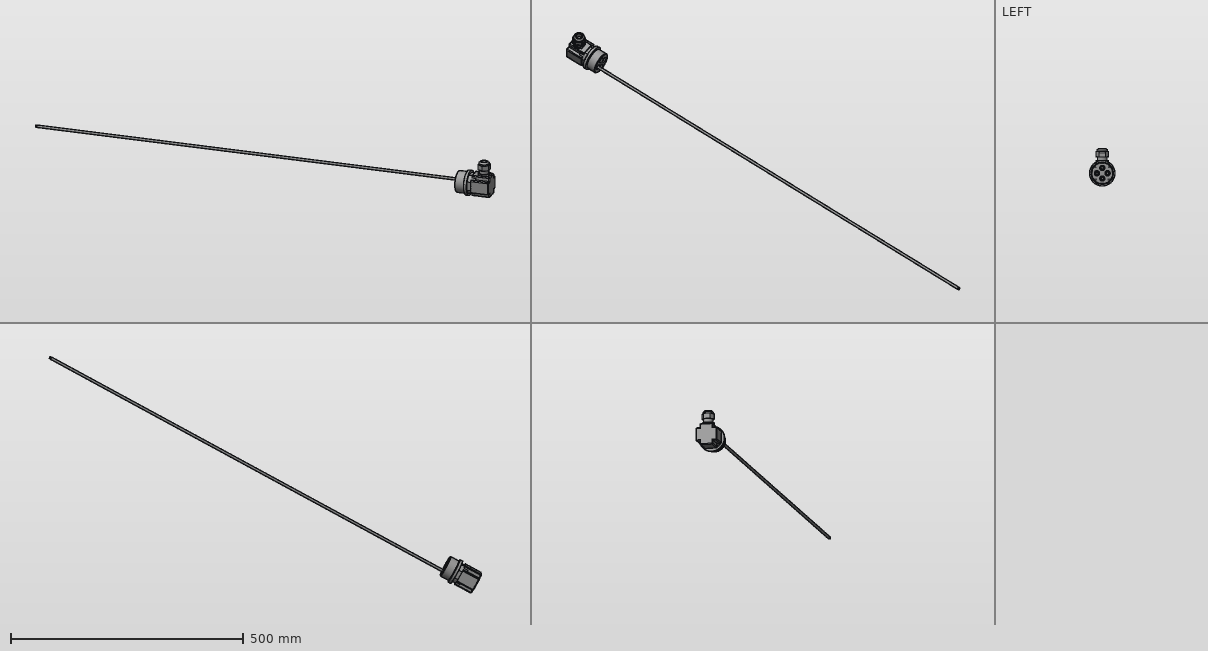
import cadquery as cq

total_length = 1044.0

head_length = 77.0
plug_diameter = 48.0
plug_length = 22.0
plug_chamfer = 1.6
flange_diameter = 55.0
flange_length = 6.0

collar_diameter = 46.0
collar_length = 18.0
flat_spacing = 42.0
flat_length = 8.0

slab_height = 47.0
slab_width = 29.0
slab_bevel = 2.0
end_chamfer = 2.0

socket_offset = 11.0
socket_diameter = 11.0
socket_depth = 4.0
bore_diameter = 9.0
bore_depth = 8.0
pilot_diameter = 5.0
pilot_depth = 13.0
rod_diameter = 6.0
rod_tip_diameter = pilot_diameter
rod_tip_length = 3.0

gland_from_end = 18.0
hex_across_flats = 24.0
lower_hex_top = 27.0
gland_neck_diameter = 21.0
nut_bottom = 35.0
nut_top = 47.0
cap_diameter = 23.0
cap_chamfer = 3.7
cap_height = 6.8
cable_hole_diameter = 11.0
cable_hole_depth = 10.0

head_start = total_length - head_length
flange_start = head_start + plug_length
collar_start = flange_start + flange_length
slab_start = collar_start + flat_length
collar_end = collar_start + collar_length
gland_x = total_length - gland_from_end
gland_top = nut_top + cap_height


def cylinder_x(start, end, diameter, y=0.0, z=0.0):
    plane = cq.Workplane("YZ", origin=(start, y, z))
    return plane.circle(diameter / 2).extrude(end - start)


def bar_x(start, end, width, height):
    plane = cq.Workplane("YZ", origin=(start, 0, 0))
    return plane.rect(width, height).extrude(end - start)


def cylinder_z(bottom, top, diameter):
    plane = cq.Workplane("XY", origin=(gland_x, 0, bottom))
    return plane.circle(diameter / 2).extrude(top - bottom)


def hexagon_z(bottom, top):
    """Upright hexagonal prism with two corners on the Y axis of the gland."""
    plane = cq.Workplane("XY", origin=(gland_x, 0, bottom))
    return plane.polygon(6, hex_across_flats, circumscribed=True).extrude(top - bottom)


def make_front():
    plug = cylinder_x(head_start, flange_start, plug_diameter).faces("|X").chamfer(plug_chamfer)
    flange = cylinder_x(flange_start, collar_start, flange_diameter)
    flats = bar_x(collar_start, slab_start, flat_spacing, flat_spacing)
    flat_part = cylinder_x(collar_start, slab_start, collar_diameter).intersect(flats)
    round_part = cylinder_x(slab_start, collar_end, collar_diameter)
    return plug.union(flange).union(flat_part).union(round_part)


def make_housing():
    flat_slab = bar_x(slab_start, total_length, slab_height, slab_width)
    upright_slab = bar_x(slab_start, total_length, slab_width, slab_height)
    flat_slab = flat_slab.edges("|X").chamfer(slab_bevel)
    upright_slab = upright_slab.edges("|X").chamfer(slab_bevel)
    return flat_slab.union(upright_slab).faces(">X").chamfer(end_chamfer)


def make_gland():
    lower_hex = hexagon_z(0, lower_hex_top)
    neck = cylinder_z(lower_hex_top, nut_bottom, gland_neck_diameter)
    nut = hexagon_z(nut_bottom, nut_top)
    cap = cylinder_z(nut_top, gland_top, cap_diameter).faces(">Z").chamfer(cap_chamfer)
    cable_hole = cylinder_z(gland_top - cable_hole_depth, gland_top, cable_hole_diameter)
    return lower_hex.union(neck).union(nut).union(cap).cut(cable_hole)


def make_socket(y, z):
    seat = cylinder_x(head_start, head_start + socket_depth, socket_diameter, y, z)
    bore = cylinder_x(head_start, head_start + bore_depth, bore_diameter, y, z)
    pilot = cylinder_x(head_start, head_start + pilot_depth, pilot_diameter, y, z)
    return seat.union(bore).union(pilot)


def make_rod():
    tip = cylinder_x(0, rod_tip_length, rod_tip_diameter, socket_offset)
    shaft = cylinder_x(rod_tip_length, flange_start, rod_diameter, socket_offset)
    return tip.union(shaft)


result = make_front().union(make_housing()).union(make_gland())
for y_side, z_side in ((1, 0), (0, 1), (-1, 0), (0, -1)):
    result = result.cut(make_socket(y_side * socket_offset, z_side * socket_offset))
result = result.union(make_rod())